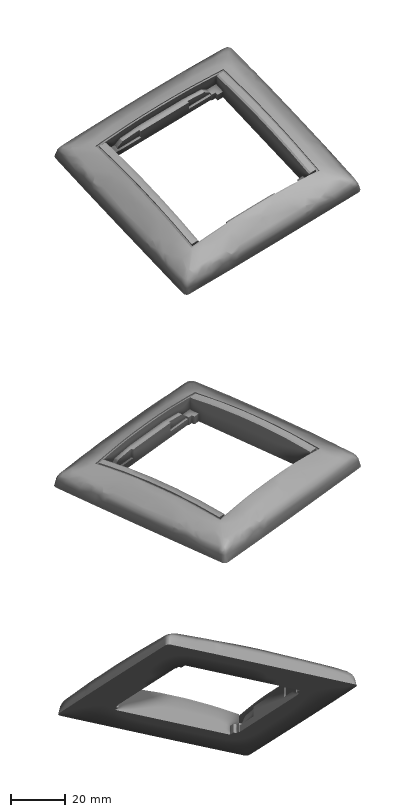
import cadquery as cq
import math

FRAME_SIZE = 82.0
RAIL_CREST_Z = 11.07

DOME_LEVELS = [
    (0.0, FRAME_SIZE / 2, 40.3, 1.8),
    (1.1, 40.8, 40.0, 2.0),
    (4.0, 40.4, 39.4, 2.2),
    (6.3, 38.9, 36.9, 3.0),
    (8.1, 35.7, 32.3, 5.0),
    (8.9, 34.2, 29.2, 7.0),
    (9.8, 32.2, 26.2, 10.0),
    (10.6, 29.8, 23.8, 15.0),
    (11.2, 27.0, 20.5, 15.0),
]

REBATE_HALF_X = 29.5
REBATE_HALF_Y = 29.6
REBATE_DEPTH = 0.6

OPENING_HALF_X = 28.8
OPENING_HALF_Y = 28.7
CUT_HEIGHT = 15.0

RAIL_INNER_Y = 25.6
RAIL_HALF_LENGTH = 28.4
RAIL_END_Z = 9.2
RAIL_BEVEL_WIDTH = 0.7
RAIL_BEVEL_DROP = 0.3

LEDGE_INNER_X = 26.2
LEDGE_TOP_Z = 6.6
LEDGE_FLAT_HALF = 10.0
RAMP_END_Y = 18.9
RAMP_END_Z = 5.7
LEDGE_LOW_Y = 21.4
LEDGE_LOW_Z = 3.5

POCKET_BACK_X = 27.1
POCKET_START_Y = 11.1
POCKET_FLOOR_Z = 2.65

BLOCK_INNER_X = 24.5
BLOCK_START_Y = 23.1
BLOCK_STEP_X = 25.8

OVERLAP = 0.4


def turned(x, y, quarter):
    """Point or direction turned about Z by a number of quarter turns."""
    angle = quarter * math.pi / 2
    return cq.Vector(
        x * math.cos(angle) - y * math.sin(angle),
        x * math.sin(angle) + y * math.cos(angle),
    )


def bowed_square(z, half_width, diagonal, corner_radius):
    """Square with bowed sides blended smoothly into round corners, one curve per quarter."""
    corner_centre = diagonal - corner_radius / math.sqrt(2)
    reach = corner_centre - half_width
    side_radius = (corner_radius**2 - corner_centre**2 - reach**2) / (2 * (reach + corner_radius))
    tilt = math.atan2(corner_centre, reach + side_radius)
    along = side_radius * math.sin(tilt)
    across = half_width - side_radius * (1 - math.cos(tilt))

    points = [(half_width, 0), (across, along), (diagonal, diagonal), (along, across), (0, half_width)]
    headings = [0, tilt, math.pi / 4, math.pi / 2 - tilt, math.pi / 2]
    tangents = [(-math.sin(heading), math.cos(heading)) for heading in headings]
    quarters = [
        cq.Edge.makeSpline(
            [turned(x, y, quarter) for x, y in points],
            tangents=[turned(x, y, quarter) for x, y in tangents],
        )
        for quarter in range(4)
    ]
    return cq.Wire.assembleEdges(quarters).translate(cq.Vector(0, 0, z))


def box_between(x_range, y_range, z_range):
    """Axis-aligned box given by its low and high limits."""
    size = [high - low for low, high in (x_range, y_range, z_range)]
    corner = (x_range[0], y_range[0], z_range[0])
    return cq.Workplane("XY").box(*size, centered=False).translate(corner)


def make_dome():
    level_wires = [bowed_square(*level) for level in DOME_LEVELS]
    return cq.Workplane(obj=cq.Solid.makeLoft(level_wires))


def make_frame():
    """Domed frame with its rebated opening."""
    dome = make_dome()
    rebate = box_between(
        (-REBATE_HALF_X, REBATE_HALF_X), (-REBATE_HALF_Y, REBATE_HALF_Y), (0, CUT_HEIGHT)
    )
    opening = box_between(
        (-OPENING_HALF_X, OPENING_HALF_X), (-OPENING_HALF_Y, OPENING_HALF_Y), (0, CUT_HEIGHT)
    )
    rim = dome.cut(rebate)
    rebate_floor = dome.translate((0, 0, -REBATE_DEPTH)).intersect(rebate).cut(opening)
    return rim.union(rebate_floor)


def make_rail():
    """Rail on the +Y side: arched along X, with its inner top edge bevelled."""
    return (
        cq.Workplane("XZ", origin=(0, OPENING_HALF_Y, 0))
        .moveTo(-RAIL_HALF_LENGTH, 0)
        .lineTo(-RAIL_HALF_LENGTH, RAIL_END_Z)
        .threePointArc((0, RAIL_CREST_Z), (RAIL_HALF_LENGTH, RAIL_END_Z))
        .lineTo(RAIL_HALF_LENGTH, 0)
        .close()
        .extrude(OPENING_HALF_Y - RAIL_INNER_Y)
        .edges("%CIRCLE").edges("<Y")
        .chamfer(RAIL_BEVEL_WIDTH, RAIL_BEVEL_DROP)
    )


def make_ledge():
    """Ledge on the +X side with ramped ends, pockets and corner blocks."""
    end_y = OPENING_HALF_Y + OVERLAP
    half_profile = [
        (LEDGE_FLAT_HALF, LEDGE_TOP_Z),
        (RAMP_END_Y, RAMP_END_Z),
        (LEDGE_LOW_Y, LEDGE_LOW_Z),
        (end_y, LEDGE_LOW_Z),
        (end_y, 0),
    ]
    mirrored = [(-y, z) for y, z in reversed(half_profile)]
    back_x = OPENING_HALF_X + OVERLAP
    ledge = (
        cq.Workplane("YZ", origin=(LEDGE_INNER_X, 0, 0))
        .polyline(mirrored + half_profile)
        .close()
        .extrude(back_x - LEDGE_INNER_X)
    )
    pocket = box_between(
        (LEDGE_INNER_X, POCKET_BACK_X), (POCKET_START_Y, LEDGE_LOW_Y), (POCKET_FLOOR_Z, LEDGE_TOP_Z)
    )
    block = box_between((BLOCK_INNER_X, back_x), (BLOCK_START_Y, end_y), (0, LEDGE_LOW_Z))
    step = box_between((BLOCK_STEP_X, back_x), (LEDGE_LOW_Y, end_y), (0, LEDGE_LOW_Z))
    ledge = ledge.cut(pocket).cut(pocket.mirror("XZ"))
    corner = block.union(step)
    return ledge.union(corner).union(corner.mirror("XZ"))


rail = make_rail()
ledge = make_ledge()
result = make_frame()
for insert in (rail, rail.mirror("XZ"), ledge, ledge.mirror("YZ")):
    result = result.union(insert)